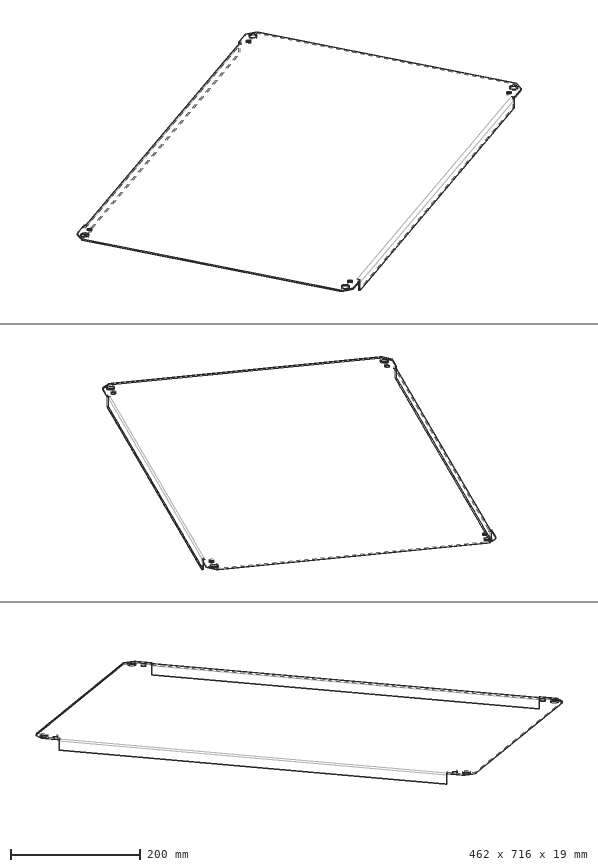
import cadquery as cq

width = 462.0
length = 716.0
height = 19.0
thickness = 2.5

flange_end_gap = 42.0
flange_length = length - 2 * flange_end_gap
bend_outer_radius = 5.0
bend_inner_radius = bend_outer_radius - thickness

corner_chamfer = 13.5
hole_side_inset = 13.0
mounting_hole_diameter = 13.0
mounting_hole_end_inset = 13.5
small_hole_diameter = 8.0
small_hole_end_inset = 32.0


def make_bent_section():
    """Channel section running between the two ends of the flanges."""
    outer = (
        cq.Workplane("XY")
        .box(width, flange_length, height, centered=(True, True, False))
        .translate((0, 0, -height))
        .edges("|Y and >Z")
        .fillet(bend_outer_radius)
    )
    inner = (
        cq.Workplane("XY")
        .box(width - 2 * thickness, flange_length, height, centered=(True, True, False))
        .translate((0, 0, -height - thickness))
        .edges("|Y and >Z")
        .fillet(bend_inner_radius)
    )
    return outer.cut(inner)


def make_flat_end(side):
    """Flat full-width end of the plate, with both outer corners chamfered."""
    return (
        cq.Workplane("XY")
        .box(width, flange_end_gap, thickness)
        .translate((0, side * (length - flange_end_gap) / 2, -thickness / 2))
        .edges("|Z and >Y" if side > 0 else "|Z and <Y")
        .chamfer(corner_chamfer)
    )


def make_corner_holes(diameter, end_inset):
    """Cutters for one hole near each corner."""
    return (
        cq.Workplane("XY")
        .rect(width - 2 * hole_side_inset, length - 2 * end_inset, forConstruction=True)
        .vertices()
        .circle(diameter / 2)
        .extrude(-thickness)
    )


plate = make_bent_section()
for end_side in (-1, 1):
    plate = plate.union(make_flat_end(end_side))

result = plate.cut(make_corner_holes(mounting_hole_diameter, mounting_hole_end_inset))
result = result.cut(make_corner_holes(small_hole_diameter, small_hole_end_inset))